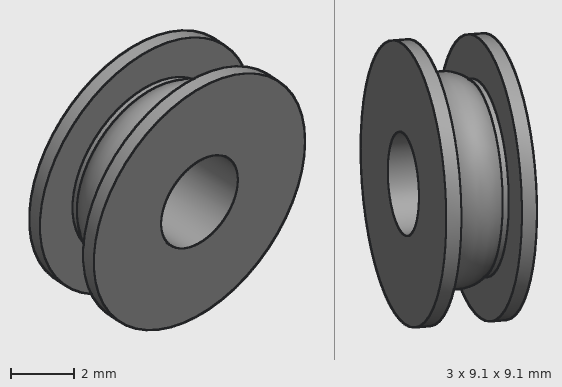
import cadquery as cq

outer_diameter = 9.1
width = 3.0
flange_thickness = 0.5
hub_diameter = 6.3
bore_diameter = 3.3

bead_diameter = 6.92
bead_width = 1.6


def disc(diameter, thickness, start_x):
    """Solid disc along X, beginning at start_x."""
    return cq.Workplane("YZ").workplane(offset=start_x).circle(diameter / 2).extrude(thickness)


def bead():
    """Solid of revolution with a single arc as its crown."""
    half_width = bead_width / 2
    return (
        cq.Workplane("XY")
        .moveTo(-half_width, 0)
        .lineTo(-half_width, hub_diameter / 2)
        .threePointArc((0, bead_diameter / 2), (half_width, hub_diameter / 2))
        .lineTo(half_width, 0)
        .close()
        .revolve(360, (0, 0, 0), (1, 0, 0))
    )


left_face = -width / 2
spool = disc(hub_diameter, width, left_face).union(bead())
for flange_start in (left_face, width / 2 - flange_thickness):
    spool = spool.union(disc(outer_diameter, flange_thickness, flange_start))

result = spool.cut(disc(bore_diameter, width, left_face))